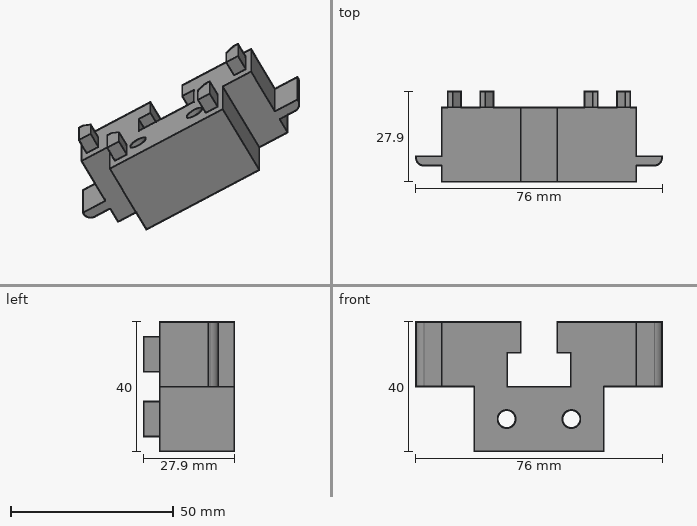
import cadquery as cq

overall_width = 76.0
depth = 23.0
tier_height = 20.0
total_height = 2 * tier_height
base_width = 2 * tier_height
upper_width = 60.05

slot_width = 19.5
slot_height = 10.4
slot_mouth_width = 11.2

hole_diameter = 5.5
hole_spacing = base_width / 2
hole_height = tier_height / 2

wing_front = 5.0
wing_thickness = 3.0
wing_radius = 2.5

tab_height = 10.9
tab_width = 4.2
tab_top_width = 1.6
tab_chamfer = tab_width - tab_top_width
tab_projection = 4.95
lower_tab_outer = 18.2
upper_tab_outer = 28.2


def box(width, box_depth, bottom, top):
    """Box centred on X = 0 with its front face on Y = 0."""
    return (
        cq.Workplane("XY")
        .workplane(offset=bottom)
        .rect(width, box_depth)
        .extrude(top - bottom)
        .translate((0, box_depth / 2, 0))
    )


def make_wings():
    """Both wings as one plate through the upper block."""
    plate = box(overall_width, wing_thickness, tier_height, total_height)
    plate = plate.edges("|Z and <Y").fillet(wing_radius)
    return plate.translate((0, wing_front, 0))


def make_tab(side, outer_face, mid_height):
    """Tab with a vertical outer face; side is -1 for left and 1 for right."""
    bottom = mid_height - tab_height / 2
    top = mid_height + tab_height / 2
    inner_face = outer_face - tab_width
    profile = [
        (side * outer_face, bottom),
        (side * outer_face, top),
        (side * (outer_face - tab_top_width), top),
        (side * inner_face, top - tab_chamfer),
        (side * inner_face, bottom),
    ]
    tab = cq.Workplane("XZ").polyline(profile).close().extrude(-tab_projection)
    return tab.translate((0, depth, 0))


body = box(base_width, depth, 0, tier_height)
body = body.union(box(upper_width, depth, tier_height, total_height))
body = body.union(make_wings())
body = body.cut(box(slot_width, depth, tier_height, tier_height + slot_height))
body = body.cut(box(slot_mouth_width, depth, tier_height, total_height))

holes = (
    cq.Workplane("XZ")
    .pushPoints([(-hole_spacing / 2, hole_height), (hole_spacing / 2, hole_height)])
    .circle(hole_diameter / 2)
    .extrude(-depth)
)
body = body.cut(holes)

for side in (-1, 1):
    body = body.union(make_tab(side, lower_tab_outer, tier_height / 2))
    body = body.union(make_tab(side, upper_tab_outer, tier_height * 3 / 2))

result = body